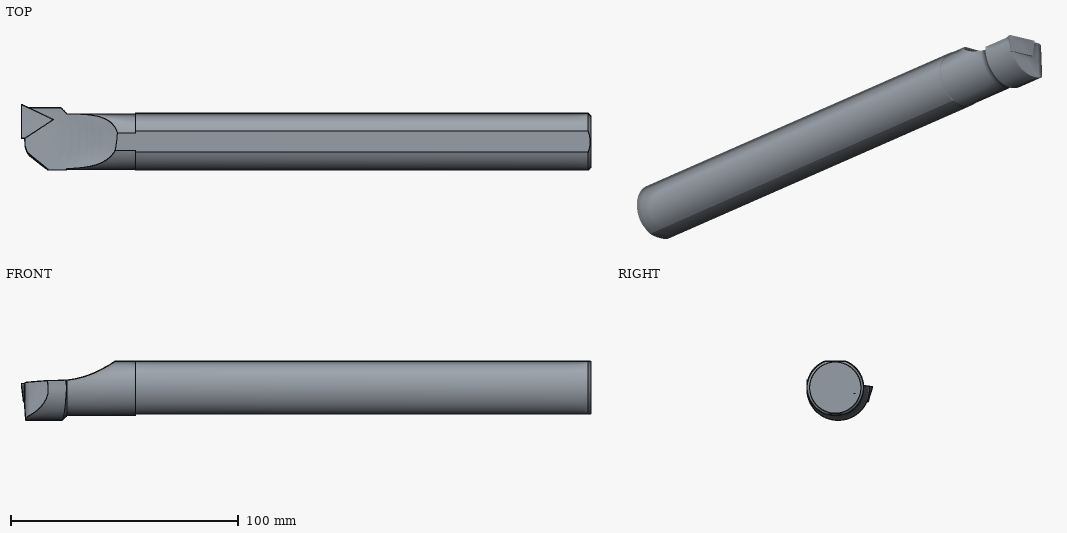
import cadquery as cq
import math

overall_length = 250.0
shank_diameter = 25.0
flats_height = 23.2
end_chamfer = 1.2
head_end_x = 20.0
neck_end_x = 50.0
neck_diameter = 24.5

head_radius = 13.7
head_center_y = 1.2
head_center_z = -0.62

rake_angle = 5.5
rake_height = 2.0

gullet_axis_x = -11.2
gullet_axis_y = 0.7
gullet_floor_radius = 30.0
gullet_fillet_radius = 32.5
gullet_rise = 17.5

front_tip_x = 0.7
front_x = 1.5
front_corner_y = -1.7
front_clearance = 2.0
nose_mid = (2.0, -3.5)
nose_end = (3.2, -5.2)
side_end = (11.5, -12.0)

insert_tip_y = 16.5
insert_back = (14.0, 9.7)
insert_heel_y = 1.5
insert_heel_length = 1.5
insert_thickness = 3.7
pad_thickness = 3.2
clearance_angle = 7.0

blank_height = 50.0


def rake_plane():
    """Plane of the rake face."""
    tilt = math.radians(rake_angle)
    normal = cq.Vector(0, math.sin(tilt), math.cos(tilt))
    return cq.Plane(origin=(0, 0, rake_height), xDir=(1, 0, 0), normal=normal)


def rod(diameter, start_x, end_x):
    return cq.Workplane("YZ", origin=(start_x, 0, 0)).circle(diameter / 2).extrude(end_x - start_x)


def flat_cutter(bottom_z, start_x):
    """Slab that cuts a flat on the rod from start_x to the back end."""
    length = overall_length - start_x
    return cq.Workplane("XY", origin=(start_x, 0, bottom_z)).box(
        length, shank_diameter, shank_diameter, centered=(False, True, False)
    )


def make_shank():
    """Shank flattened on top and bottom, with a slimmer neck flattened on top only."""
    shank = rod(shank_diameter, neck_end_x, overall_length).faces(">X").chamfer(end_chamfer)
    neck = rod(neck_diameter, head_end_x, neck_end_x)
    top_flat = flat_cutter(flats_height / 2, head_end_x)
    bottom_flat = flat_cutter(-flats_height / 2 - shank_diameter, neck_end_x)
    return shank.union(neck).cut(top_flat).cut(bottom_flat)


def nose_outline():
    """Closed outline on the rake face, with the head's front, rounded nose and slanted side."""
    half = blank_height / 2
    return (
        cq.Workplane(rake_plane())
        .moveTo(front_tip_x, half)
        .lineTo(front_x, front_corner_y)
        .threePointArc(nose_mid, nose_end)
        .lineTo(*side_end)
        .lineTo(side_end[0], -half)
        .lineTo(head_end_x + half, -half)
        .lineTo(head_end_x + half, half)
        .close()
    )


def head_nose():
    """Blank for the front of the head: straight above the rake face, leaning in below it."""
    half = blank_height / 2
    above = nose_outline().extrude(half)
    below = nose_outline().extrude(-half, taper=front_clearance)
    return above.union(below)


def head_back_cone():
    """Cone that bevels the back of the head at 45 degrees down to the neck."""
    neck_radius = neck_diameter / 2
    return (
        cq.Workplane("XY")
        .lineTo(head_end_x, 0)
        .lineTo(head_end_x, neck_radius)
        .lineTo(0, neck_radius + head_end_x)
        .close()
        .revolve(360, (0, 0, 0), (1, 0, 0))
    )


def make_head():
    left_y = head_center_y - head_radius
    right_y = head_center_y + head_radius
    block = (
        cq.Workplane("YZ")
        .moveTo(left_y, head_center_z)
        .threePointArc((head_center_y, head_center_z - head_radius), (right_y, head_center_z))
        .lineTo(right_y, head_radius)
        .lineTo(left_y, head_radius)
        .close()
        .extrude(head_end_x)
    )
    return block.intersect(head_back_cone()).intersect(head_nose())


def gullet():
    """Round cutter with a flat floor on the rake face and a large concave corner."""
    reach = math.sqrt(gullet_fillet_radius**2 - (gullet_fillet_radius - gullet_rise) ** 2)
    mid_angle = math.asin(reach / gullet_fillet_radius) / 2
    mid_radius = gullet_floor_radius + gullet_fillet_radius * math.sin(mid_angle)
    mid_rise = gullet_fillet_radius * (1 - math.cos(mid_angle))
    tilted = rake_plane()
    profile_plane = cq.Plane(
        origin=tilted.toWorldCoords((gullet_axis_x, gullet_axis_y, 0)),
        xDir=tilted.xDir,
        normal=-tilted.yDir,
    )
    return (
        cq.Workplane(profile_plane)
        .lineTo(gullet_floor_radius, 0)
        .threePointArc((mid_radius, mid_rise), (gullet_floor_radius + reach, gullet_rise))
        .lineTo(0, gullet_rise)
        .close()
        .revolve(360, (0, 0, 0), (0, 1, 0))
    )


def insert_prism(thickness):
    """Three-sided prism below the rake face, narrowing downward by the clearance angle."""
    return (
        cq.Workplane(rake_plane())
        .polyline(
            [
                (0, insert_tip_y),
                insert_back,
                (insert_heel_length, insert_heel_y),
                (0, insert_heel_y),
            ]
        )
        .close()
        .extrude(-thickness, taper=clearance_angle)
    )


def make_insert():
    return insert_prism(insert_thickness)


def make_holder():
    seat_pad = insert_prism(insert_thickness + pad_thickness)
    holder = make_shank().union(make_head()).union(seat_pad)
    return holder.cut(gullet()).cut(make_insert()).solids()


holder = make_holder()
insert = make_insert()
result = cq.Compound.makeCompound([holder.val(), insert.val()])